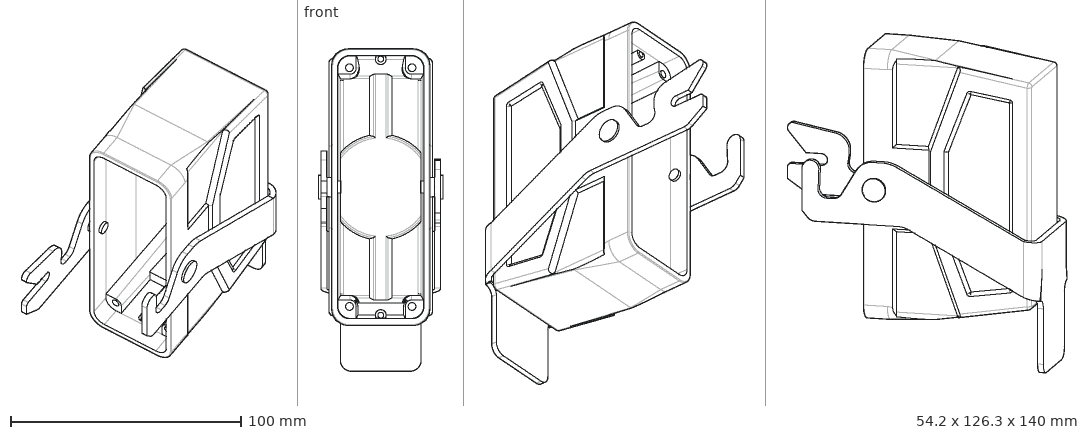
import cadquery as cq
import math


HOOD_DEPTH = 75.7
MOUTH_HALF_HEIGHT = 60.0
OUTER_PROFILE = [(0, MOUTH_HALF_HEIGHT), (10.9, MOUTH_HALF_HEIGHT), (32.0, 57.8), (HOOD_DEPTH, 50.4)]
HOOD_HALF_WIDTH = 21.3
HOOD_CORNER_RADII = [7.3, 7.3, 2.2, 0.8]
REAR_HALF_WIDTH = 22.5
REAR_CORNER_RADII = [2.0, 2.0, 2.0, 2.0]
BACK_EDGE_RADIUS = 1.7
RIM_ROUND = 0.4

BORDER_MIDDLE_Y = 28.5
BORDER_MIDDLE_Z = 18.0
BORDER_TOP_Y = 42.3
BORDER_TOP_Z = 55.6
BORDER_SLOPE_WIDTH = 2.1

PANEL_HALF_WIDTH = 20.2
PANEL_FRONT_Y = 13.3
PANEL_SLOPE_WIDTH = 1.4
PANEL_ROOF_Z = 55.3
PANEL_ROOF_DROP = 0.5
PANEL_ROOF_RISE = 2.5
POCKET_DEPTH = 1.3
POCKET_OUTLINE = [(67.6, 42.8), (47.5, 45.9), (36.7, 18.0)]
POCKET_CORNER_RADIUS = 1.7
POCKET_SLOPE_DEGREES = 54

CAVITY_FLOOR_Y = 72.8
LIP_DEPTH = 9.1
CAVITY_SECTIONS = [
    (0, 18.8, 57.1, 5.3),
    (LIP_DEPTH, 18.6, 57.0, 5.3),
    (32.0, 18.2, 55.5, 3.4),
    (CAVITY_FLOOR_Y, 17.4, 48.0, 1.8),
]

PLATEAU_HEIGHT = 5.6
PLATEAU_RADIUS = 22.1
SPINE_HALF_WIDTH = 3.0
DISC_SLOPE_DEGREES = 9
SPINE_SLOPE_DEGREES = 20
PLATEAU_EDGE_RADIUS = 0.8
FLOOR_EDGE_RADIUS = 1.1

POST_INNER_X = 10.6
POST_INNER_Z = 49.0
POST_CORNER_RADIUS = 2.8
POST_TAPER_DEGREES = 1.8
SCREW_X = 13.6
SCREW_Z = 51.8
SCREW_HOLE_RADIUS = 1.7
SCREW_HOLE_DEPTH = 11.2
LEDGE_FRONT_Y = 30.8
LEDGE_TOP_Z = -50.4

TUBE_Z = 55.6
TUBE_RADIUS = 2.4
TUBE_BORE_RADIUS = 1.3
TUBE_TIP_Y = 10.4
TUBE_BORE_DEPTH = 11.2

PIVOT_Y = 6.3
PIN_RADIUS = 4.2
PIN_HEAD_RADIUS = 5.2
PIN_HEAD_X = 27.09
PIN_TAIL_RADIUS = 2.7
PIN_TAIL_X = 17.4

SHEET = 2.7
BAIL_HALF_WIDTH = 26.0
BAIL_BACK_Y = 80.1
BAIL_BEND_RADIUS = 6.6
ARM_TIP_Y = -46.2
SHORT_ARM_TIP_Y = -26.2
ARM_TOP_Z = 12.2
SHORT_ARM_TOP_Z = 11.5
ARM_BOTTOM_Z = -15.7
ARM_BACK_TOP_Z = -19.9
ARM_BACK_BOTTOM_Z = -46.2
NOTCH_Z = -5.0
SLOT_HALF_HEIGHT = 2.59
TAB_HALF_WIDTH = 17.57
TAB_BOTTOM_Z = -80.0
TAB_CORNER_RADIUS = 4.8
TAB_ROOT_RADIUS = 4.2


def box(x, y, z):
    """Box spanning the given (low, high) range on each axis."""
    size = [high - low for low, high in (x, y, z)]
    return cq.Workplane("XY").box(*size, centered=False).translate((x[0], y[0], z[0]))


def rounded_loft(sections):
    """Solid through rounded rectangles given as (y, half width, half height, corner radius)."""
    sketches = []
    for y, half_width, half_height, radius in sections:
        sketch = cq.Sketch().rect(2 * half_width, 2 * half_height).vertices().fillet(radius)
        sketches.append(sketch.moved(cq.Location(cq.Vector(0, 0, -y))))
    return cq.Workplane("XZ").placeSketch(*sketches).loft(ruled=True)


def cylinder_along_y(x, z, radius, y_start, y_end):
    return cq.Workplane("XZ", origin=(x, y_start, z)).circle(radius).extrude(y_start - y_end)


def cylinder_along_x(radius, x_start, x_end):
    return cq.Workplane("YZ", origin=(x_start, PIVOT_Y, 0)).circle(radius).extrude(x_end - x_start)


def both_sides(solid):
    """The solid together with its mirror image in the plane X = 0."""
    return solid.union(solid.mirror("YZ"))


def outer_loft(half_width, corner_radii):
    """Solid hood of the given width, tapering toward the back."""
    sections = [(y, half_width, height, radius) for (y, height), radius in zip(OUTER_PROFILE, corner_radii)]
    return rounded_loft(sections)


def flank_panels():
    """Recesses in the +X flank between the mouth band and the raised rear, above and below the middle."""
    roof_x = PANEL_HALF_WIDTH - PANEL_ROOF_DROP
    across_z = (
        cq.Workplane("XZ")
        .polyline([
            (HOOD_HALF_WIDTH, BORDER_MIDDLE_Z),
            (PANEL_HALF_WIDTH, BORDER_MIDDLE_Z + PANEL_SLOPE_WIDTH),
            (PANEL_HALF_WIDTH, PANEL_ROOF_Z),
            (roof_x, PANEL_ROOF_Z + PANEL_ROOF_RISE),
            (roof_x, MOUTH_HALF_HEIGHT),
            (REAR_HALF_WIDTH, MOUTH_HALF_HEIGHT),
            (REAR_HALF_WIDTH, BORDER_MIDDLE_Z),
        ])
        .close()
        .extrude(-HOOD_DEPTH)
    )
    back_y = BORDER_TOP_Y + 2.8
    across_y = (
        cq.Workplane("XY")
        .polyline([
            (HOOD_HALF_WIDTH, PANEL_FRONT_Y),
            (PANEL_HALF_WIDTH, PANEL_FRONT_Y + PANEL_SLOPE_WIDTH),
            (roof_x, PANEL_FRONT_Y + PANEL_SLOPE_WIDTH),
            (roof_x, back_y),
            (REAR_HALF_WIDTH, back_y),
            (REAR_HALF_WIDTH, PANEL_FRONT_Y),
        ])
        .close()
        .extrude(MOUTH_HALF_HEIGHT)
    )
    upper = across_z.intersect(across_y)
    return upper.union(upper.mirror("XY"))


def back_slab():
    """Space taken by the back of the hood where its edge is rounded."""
    return box(
        (-REAR_HALF_WIDTH, REAR_HALF_WIDTH),
        (HOOD_DEPTH - BACK_EDGE_RADIUS, HOOD_DEPTH),
        (-MOUTH_HALF_HEIGHT, MOUTH_HALF_HEIGHT),
    )


def raised_rear():
    """Thicker rear flanks, sloping down along their front border, and the rounded back of the hood."""
    slope = (BORDER_TOP_Y - BORDER_MIDDLE_Y) / (BORDER_TOP_Z - BORDER_MIDDLE_Z)
    far_z = MOUTH_HALF_HEIGHT + 7
    far_y = BORDER_MIDDLE_Y + slope * (far_z - BORDER_MIDDLE_Z)
    step = REAR_HALF_WIDTH - PANEL_HALF_WIDTH
    taper = math.degrees(math.atan(BORDER_SLOPE_WIDTH / step))
    wedge = (
        cq.Workplane("YZ", origin=(PANEL_HALF_WIDTH, 0, 0))
        .polyline([
            (BORDER_MIDDLE_Y, -BORDER_MIDDLE_Z),
            (BORDER_MIDDLE_Y, BORDER_MIDDLE_Z),
            (far_y, far_z),
            (HOOD_DEPTH + 7, far_z),
            (HOOD_DEPTH + 7, -far_z),
            (far_y, -far_z),
        ])
        .close()
        .extrude(step, taper=taper)
    )
    rear = outer_loft(REAR_HALF_WIDTH, REAR_CORNER_RADII).faces(">Y").edges().fillet(BACK_EDGE_RADIUS)
    return rear.intersect(both_sides(wedge).union(back_slab()))


def flank_pocket():
    """Shallow pocket with sloped walls in the face of the raised rear."""
    outline = POCKET_OUTLINE + [(y, -z) for y, z in reversed(POCKET_OUTLINE)]
    return (
        cq.Workplane("YZ", origin=(REAR_HALF_WIDTH, 0, 0))
        .placeSketch(cq.Sketch().polygon(outline + outline[:1]).vertices().fillet(POCKET_CORNER_RADIUS))
        .extrude(-POCKET_DEPTH, taper=POCKET_SLOPE_DEGREES)
    )


def plateau():
    """Raised floor: a disc with a straight spine, both with sloped walls and a rounded top edge."""
    height = PLATEAU_HEIGHT + 1.4
    top = cq.Workplane("XZ", origin=(0, CAVITY_FLOOR_Y - PLATEAU_HEIGHT, 0))
    disc = top.circle(PLATEAU_RADIUS).extrude(-height, taper=-DISC_SLOPE_DEGREES)
    spine = (
        top.rect(2 * SPINE_HALF_WIDTH, 2 * MOUTH_HALF_HEIGHT)
        .extrude(-height, taper=-SPINE_SLOPE_DEGREES)
    )
    disc = disc.faces("<Y").edges().fillet(PLATEAU_EDGE_RADIUS)
    spine = spine.faces("<Y").edges("|Z").fillet(PLATEAU_EDGE_RADIUS)
    return disc.union(spine)


def corner_post():
    """Post in the upper +X corner, growing slightly toward the floor."""
    width = MOUTH_HALF_HEIGHT - POST_INNER_X
    height = MOUTH_HALF_HEIGHT - POST_INNER_Z
    center_x = POST_INNER_X + width / 2
    center_z = POST_INNER_Z + height / 2
    profile = cq.Sketch().rect(width, height).vertices("<X and <Y").fillet(POST_CORNER_RADIUS)
    return (
        cq.Workplane("XZ", origin=(center_x, LIP_DEPTH, center_z))
        .placeSketch(profile)
        .extrude(LIP_DEPTH - HOOD_DEPTH, taper=-POST_TAPER_DEGREES)
    )


def cavity():
    hollow = rounded_loft(CAVITY_SECTIONS).faces(">Y").edges().fillet(FLOOR_EDGE_RADIUS)
    hollow = hollow.cut(plateau())
    upper_posts = both_sides(corner_post())
    hollow = hollow.cut(upper_posts).cut(upper_posts.mirror("XY"))
    ledge = box(
        (-POST_INNER_X, POST_INNER_X), (LEDGE_FRONT_Y, HOOD_DEPTH), (-MOUTH_HALF_HEIGHT, LEDGE_TOP_Z)
    )
    hollow = hollow.cut(ledge)
    for end in (-1, 1):
        hollow = hollow.cut(cylinder_along_y(0, end * TUBE_Z, TUBE_RADIUS, TUBE_TIP_Y, HOOD_DEPTH))
    return hollow


def hood():
    shell = outer_loft(HOOD_HALF_WIDTH, HOOD_CORNER_RADII).cut(back_slab())
    shell = shell.faces("<Y").edges().fillet(RIM_ROUND)
    shell = shell.cut(both_sides(flank_panels()))
    shell = shell.union(raised_rear())
    shell = shell.cut(both_sides(flank_pocket()))
    shell = shell.cut(cavity())
    for end in (-1, 1):
        shell = shell.cut(
            cylinder_along_y(0, end * TUBE_Z, TUBE_BORE_RADIUS, TUBE_TIP_Y, TUBE_TIP_Y + TUBE_BORE_DEPTH)
        )
        for side in (-1, 1):
            shell = shell.cut(
                cylinder_along_y(
                    side * SCREW_X, end * SCREW_Z, SCREW_HOLE_RADIUS, LIP_DEPTH, LIP_DEPTH + SCREW_HOLE_DEPTH
                )
            )
    return shell


def pivot_pin():
    plate_inner_x = BAIL_HALF_WIDTH - SHEET
    tail = cylinder_along_x(PIN_TAIL_RADIUS, PIN_TAIL_X, HOOD_HALF_WIDTH)
    shank = cylinder_along_x(PIN_RADIUS, HOOD_HALF_WIDTH - 0.7, plate_inner_x + 0.7)
    head = cylinder_along_x(PIN_HEAD_RADIUS, plate_inner_x, PIN_HEAD_X)
    return tail.union(shank).union(head)


def arm_start():
    """Outline shared by both arms: from the bent back along the top into the notch."""
    return (
        cq.Workplane("YZ")
        .moveTo(BAIL_BACK_Y, ARM_BACK_TOP_Z)
        .lineTo(73.4, -18.9)
        .lineTo(16.1, 10.8)
        .threePointArc((13.5, 11.8), (10.5, ARM_TOP_Z))
        .lineTo(5.6, ARM_TOP_Z)
        .threePointArc((1.0, 10.9), (-2.2, 7.7))
        .lineTo(-8.7, -3.1)
        .threePointArc((-10.1, -4.5), (-11.9, NOTCH_Z))
        .lineTo(-14.8, NOTCH_Z)
        .threePointArc((-18.2, -3.5), (-18.9, 0))
    )


def arm_end(outline):
    """Close an arm outline along its bottom edge to the bent back."""
    return (
        outline
        .lineTo(17.4, ARM_BOTTOM_Z)
        .threePointArc((19.9, -16.1), (22.1, -17.1))
        .lineTo(73.4, -43.8)
        .lineTo(BAIL_BACK_Y, ARM_BACK_BOTTOM_Z)
        .close()
        .extrude(BAIL_HALF_WIDTH)
    )


def long_arm():
    """Arm on the -X side: a hook, an open slot and a pointed jaw."""
    outline = (
        arm_start()
        .threePointArc((-18.5, 2.8), (-18.5, 6.0))
        .threePointArc((-20.9, 10.4), (-25.2, 12.3))
        .lineTo(-42.8, 15.5)
        .threePointArc((-45.9, 14.4), (-45.6, 11.8))
        .lineTo(-37.8, SLOT_HALF_HEIGHT)
        .lineTo(-30.8, SLOT_HALF_HEIGHT)
        .threePointArc((-30.8 + SLOT_HALF_HEIGHT, 0), (-30.8, -SLOT_HALF_HEIGHT))
        .lineTo(-44.8, -SLOT_HALF_HEIGHT)
        .threePointArc((-45.8, -3.1), (ARM_TIP_Y, -4.0))
        .lineTo(ARM_TIP_Y, -9.4)
        .lineTo(-38.1, -14.8)
        .threePointArc((-36.8, -15.4), (-35.4, ARM_BOTTOM_Z))
    )
    return arm_end(outline).mirror("YZ")


def short_arm():
    """Arm on the +X side: the hook only, with a round tip."""
    tip_radius = (-18.6 - SHORT_ARM_TIP_Y) / 2
    tip_z = SHORT_ARM_TOP_Z - tip_radius
    outline = (
        arm_start()
        .lineTo(SHORT_ARM_TIP_Y + 2 * tip_radius, tip_z)
        .threePointArc((SHORT_ARM_TIP_Y + tip_radius, SHORT_ARM_TOP_Z), (SHORT_ARM_TIP_Y, tip_z))
        .lineTo(SHORT_ARM_TIP_Y, -11.2)
        .lineTo(-23.5, -14.3)
        .threePointArc((-22.1, -15.3), (-20.3, ARM_BOTTOM_Z))
    )
    return arm_end(outline)


def bail():
    length = BAIL_BACK_Y - ARM_TIP_Y
    center_y = (BAIL_BACK_Y + ARM_TIP_Y) / 2

    def column(inset):
        """Upright block with rounded back corners, set in from the outside of the bail."""
        half_width = BAIL_HALF_WIDTH - inset
        block = box((-half_width, half_width), (center_y - length, BAIL_BACK_Y - inset), (TAB_BOTTOM_Z, 28))
        return block.edges("|Z and >Y").fillet(BAIL_BEND_RADIUS - inset)

    strap = column(0).cut(column(SHEET))
    strap = strap.intersect(long_arm().union(short_arm()))
    tab = (
        cq.Workplane("XZ", origin=(0, BAIL_BACK_Y, 0))
        .moveTo(-TAB_HALF_WIDTH - TAB_ROOT_RADIUS, ARM_BACK_BOTTOM_Z)
        .radiusArc((-TAB_HALF_WIDTH, ARM_BACK_BOTTOM_Z - TAB_ROOT_RADIUS), TAB_ROOT_RADIUS)
        .lineTo(-TAB_HALF_WIDTH, TAB_BOTTOM_Z)
        .lineTo(TAB_HALF_WIDTH, TAB_BOTTOM_Z)
        .lineTo(TAB_HALF_WIDTH, ARM_BACK_BOTTOM_Z - TAB_ROOT_RADIUS)
        .radiusArc((TAB_HALF_WIDTH + TAB_ROOT_RADIUS, ARM_BACK_BOTTOM_Z), TAB_ROOT_RADIUS)
        .lineTo(TAB_HALF_WIDTH, ARM_BACK_TOP_Z - 1.4)
        .lineTo(-TAB_HALF_WIDTH, ARM_BACK_TOP_Z - 1.4)
        .close()
        .extrude(SHEET)
        .edges("|Y and <Z")
        .fillet(TAB_CORNER_RADIUS)
    )
    return strap.union(tab)


result = hood().union(both_sides(pivot_pin())).union(bail())